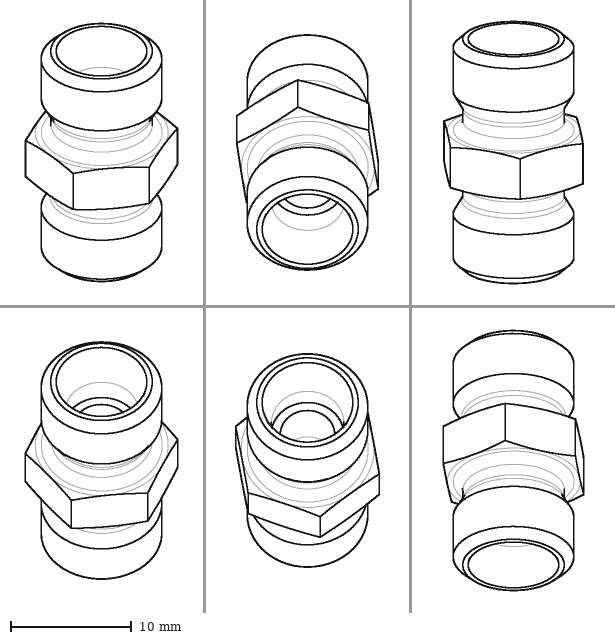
import cadquery as cq
import math

length = 20.0
mid_z = length / 2

across_flats = 11.0
hex_height = 4.0
hex_corner_radius = across_flats / 2 / math.cos(math.radians(30))
hex_chamfer_angle = 15.0

thread_radius = 5.0
end_face_radius = 4.2
end_chamfer_height = 0.75
thread_start = 5.4

neck_radius = 4.2
neck_fillet = 0.8
runout_angle = 30.0

through_diameter = 4.5
socket_diameter = 6.0
socket_depth = 5.5
mouth_diameter = 7.5
mouth_half_angle = 12.0


def make_hexagon():
    """Hexagonal collar with both sets of corners turned down to a shallow cone."""
    hexagon = (
        cq.Workplane("XY")
        .polygon(6, 2 * hex_corner_radius)
        .extrude(hex_height / 2, both=True)
        .rotate((0, 0, 0), (0, 0, 1), 30)
    )
    flat_radius = across_flats / 2
    half_height = hex_height / 2
    slope = math.tan(math.radians(hex_chamfer_angle))
    cone_height = half_height + flat_radius * slope
    cone_radius = cone_height / slope
    envelope = (
        cq.Workplane("XZ")
        .moveTo(0, -half_height)
        .lineTo(flat_radius, -half_height)
        .lineTo(cone_radius, 0)
        .lineTo(flat_radius, half_height)
        .lineTo(0, half_height)
        .close()
        .revolve(360, (0, 0, 0), (0, 1, 0))
    )
    return hexagon.intersect(envelope)


def make_end():
    """Upper threaded end and its undercut, turned about Z."""
    angle = math.radians(runout_angle)
    neck_start = hex_height / 2 + neck_fillet
    blend_center_radius = neck_radius + neck_fillet
    blend_end_radius = blend_center_radius - neck_fillet * math.cos(angle)
    runout_start = thread_start - (thread_radius - blend_end_radius) / math.tan(angle)
    neck_end = runout_start - neck_fillet * math.sin(angle)
    blend_mid = (
        blend_center_radius - neck_fillet * math.cos(angle / 2),
        neck_end + neck_fillet * math.sin(angle / 2),
    )
    root_mid_offset = neck_fillet * math.sqrt(0.5)
    root_mid = (blend_center_radius - root_mid_offset, neck_start - root_mid_offset)
    return (
        cq.Workplane("XZ")
        .lineTo(blend_center_radius, 0)
        .lineTo(blend_center_radius, hex_height / 2)
        .threePointArc(root_mid, (neck_radius, neck_start))
        .lineTo(neck_radius, neck_end)
        .threePointArc(blend_mid, (blend_end_radius, runout_start))
        .lineTo(thread_radius, thread_start)
        .lineTo(thread_radius, mid_z - end_chamfer_height)
        .lineTo(end_face_radius, mid_z)
        .lineTo(0, mid_z)
        .close()
        .revolve(360, (0, 0, 0), (0, 1, 0))
    )


def make_bore():
    """Upper half of the bore: conical mouth, tube socket and through hole."""
    mouth_radius = mouth_diameter / 2
    socket_radius = socket_diameter / 2
    through_radius = through_diameter / 2
    mouth_depth = (mouth_radius - socket_radius) / math.tan(math.radians(mouth_half_angle))
    return (
        cq.Workplane("XZ")
        .lineTo(through_radius, 0)
        .lineTo(through_radius, mid_z - socket_depth)
        .lineTo(socket_radius, mid_z - socket_depth)
        .lineTo(socket_radius, mid_z - mouth_depth)
        .lineTo(mouth_radius, mid_z)
        .lineTo(0, mid_z)
        .close()
        .revolve(360, (0, 0, 0), (0, 1, 0))
    )


end = make_end()
bore = make_bore()
result = (
    make_hexagon()
    .union(end)
    .union(end.mirror("XY"))
    .cut(bore)
    .cut(bore.mirror("XY"))
)